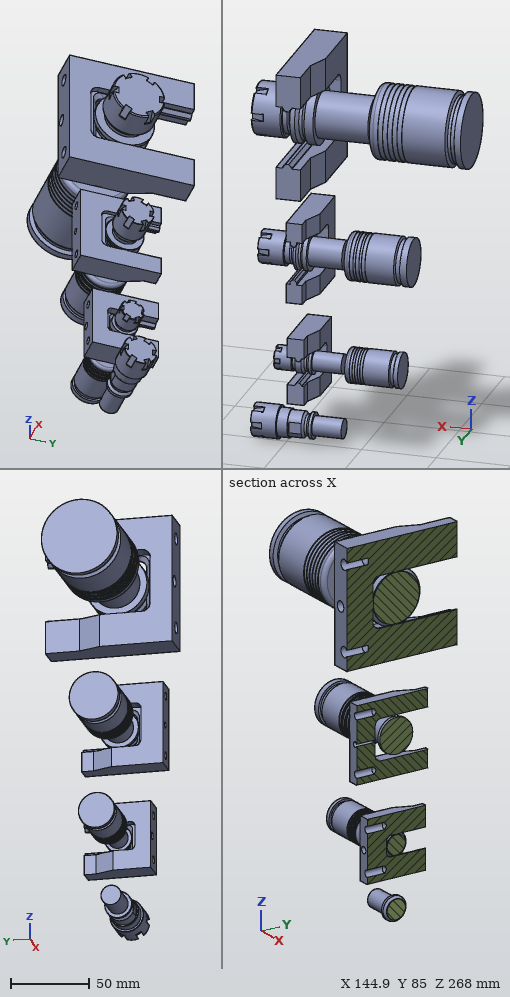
import cadquery as cq
import math


overall_height = 268.0
medium_station_drop = 95.0
small_station_drop = 170.0
large_fork_height = 85.0
small_fork_thickness = 16.0
small_bolt_radius = 2.5
collet_nut_diameter = 22.2
small_shank_start = -31.4
small_shank_radius = 13.0 / 2
small_flange_start = -11.8
small_flange_radius = 8.8
slots_per_nut = 6
grip_groove_count = 3
grip_groove_depth = 0.5
drill_point_angle = 118.0
body_rear = -1.0

large_groove = {"start": -10.7, "end": -4.3, "slope": 2.1, "radius": 18.0}
medium_groove = {"start": -7.0, "end": -2.7, "slope": 1.3, "radius": 11.3}
small_groove = {"start": -10.0, "end": -5.0, "slope": 1.5, "radius": 7.2}


def revolve_about_x(points):
    """Revolve a closed (x, radius) outline about the X axis."""
    return cq.Workplane("XY").polyline(points).close().revolve(360, (0, 0, 0), (1, 0, 0))


def groove_outline(groove, rim_radius):
    """The four (x, radius) points of a V groove between two rims."""
    return [
        (groove["start"], rim_radius),
        (groove["start"] + groove["slope"], groove["radius"]),
        (groove["end"] - groove["slope"], groove["radius"]),
        (groove["end"], rim_radius),
    ]



def make_sleeve(left, right, radius, rim_width, neck, body_offset, groove_width, land_width, end_round):
    """Solid sleeve with a neck behind its left rim and grip grooves before its rounded right end.

    neck: (distance from the left end, radius) points between the rim and the body.
    """
    outline = [(left, 0), (left, radius), (left + rim_width, radius)]
    outline += [(left + offset, neck_radius) for offset, neck_radius in neck]
    outline.append((left + body_offset, radius))

    groove_radius = radius - grip_groove_depth
    pitch = groove_width + land_width
    first_groove = right - end_round - grip_groove_count * pitch
    for index in range(grip_groove_count):
        groove_left = first_groove + index * pitch
        groove_right = groove_left + groove_width
        outline += [
            (groove_left, radius),
            (groove_left, groove_radius),
            (groove_right, groove_radius),
            (groove_right, radius),
        ]
    outline += [(right, radius), (right, 0)]
    return revolve_about_x(outline).faces(">X").edges().fillet(end_round)



def cut_nut_slots(holder, nut_end, nut_radius, length, width, shallow, deep):
    """Cut six wrench slots whose floors slope down toward the free end of the nut."""
    slot_start = nut_end - length
    slot = (
        cq.Workplane("XY")
        .polyline([
            (slot_start, shallow - nut_radius),
            (nut_end, deep - nut_radius),
            (nut_end, -nut_radius - deep),
            (slot_start, -nut_radius - deep),
        ])
        .close()
        .extrude(width / 2, both=True)
    )
    for index in range(slots_per_nut):
        holder = holder.cut(slot.rotate((0, 0, 0), (1, 0, 0), index * 360 / slots_per_nut))
    return holder


def make_holder(shank_start, shank_radius, flange_start, flange_radius, groove, body_end, collar,
                nut_start, nut_end, nut_radius, nut_bevel, slot):
    """Shank, grooved flange, stepped body and slotted nut in one solid.

    collar: (x, radius) points between the body and the nut; slot: sizes of the nut's wrench slots.
    """
    outline = [
        (shank_start, 0),
        (shank_start, shank_radius),
        (flange_start, shank_radius),
        (flange_start, flange_radius),
    ]
    outline += groove_outline(groove, flange_radius)
    outline.append((body_end, flange_radius))
    outline += collar
    outline += [
        (nut_start, nut_radius - nut_bevel),
        (nut_start + nut_bevel, nut_radius),
        (nut_end - nut_bevel, nut_radius),
        (nut_end, nut_radius - nut_bevel),
        (nut_end, 0),
    ]
    return cut_nut_slots(revolve_about_x(outline), nut_end, nut_radius, **slot)


def cut_wrench_flats(holder, start, end, flat_distance, body_radius):
    """Mill two opposite flats, facing -Y and +Y, into a holder's round body."""
    length = end - start
    waste = cq.Workplane("XY").box(length, body_radius, 2 * body_radius)
    for side in (-1, 1):
        waste_y = side * (flat_distance + body_radius / 2)
        holder = holder.cut(waste.translate((start + length / 2, waste_y, 0)))
    return holder



def ridge_slot_section(x, half_width, corner_radius, reach):
    """Cross-section at x of a slot open toward +Y, as deep below the axis as its half width."""
    corner = half_width - corner_radius
    middle = corner + corner_radius * math.sqrt(0.5)
    return (
        cq.Workplane("YZ", origin=(x, 0, 0))
        .moveTo(reach, -half_width)
        .lineTo(-corner, -half_width)
        .threePointArc((-middle, -middle), (-half_width, -corner))
        .lineTo(-half_width, corner)
        .threePointArc((-middle, middle), (-corner, half_width))
        .lineTo(reach, half_width)
        .close()
        .val()
    )


def cut_ridge_slot(plate, groove, rim_half_width, corner_radius, reach):
    """Cut the slot whose flanks follow the V groove of the holder and leave the ridge standing."""
    sections = [
        ridge_slot_section(x, half_width, corner_radius, reach)
        for x, half_width in groove_outline(groove, rim_half_width)
    ]
    for left_section, right_section in zip(sections, sections[1:]):
        plate = plate.cut(cq.Workplane(cq.Solid.makeLoft([left_section, right_section], True)))
    return plate


def cut_pocket(plate, x_start, x_end, y_floor, half_width, corner_radius, reach):
    """Cut a pocket, wider than the ridge slot, open toward +Y with round corners at its floor."""
    pocket = (
        cq.Workplane("XY")
        .box(x_end - x_start, reach - y_floor, 2 * half_width, centered=(False, False, True))
        .translate((x_start, y_floor, 0))
        .edges("|X and <Y")
        .fillet(corner_radius)
    )
    return plate.cut(pocket)


def drilled_hole(radius, depth):
    """Blind hole along +Y from the origin, ending in a drill point."""
    point_length = radius / math.tan(math.radians(drill_point_angle / 2))
    return (
        cq.Workplane("XY")
        .polyline([(0, 0), (radius, 0), (radius, depth), (0, depth + point_length)])
        .close()
        .revolve(360, (0, 0, 0), (0, 1, 0))
    )


def make_fork(height, thickness, front, back, ramp_start, ramp_end, ramp_depth,
              pocket_floor, pocket_half_width, pocket_corner, groove, ridge_rim, ridge_corner,
              bolt_radius, bolt_depth, bolt_spacing, stop_radius, stop_x):
    """Fork plate whose tines carry a ridge that grips the V groove of a holder.

    front and back: reach along -Y and +Y. The tines thin by ramp_depth from ramp_start to ramp_end.
    ridge_rim: half width of the slot at the rims of the ridge.
    """
    fork = (
        cq.Workplane("XY")
        .polyline([
            (-thickness, -front),
            (0, -front),
            (0, back),
            (ramp_depth - thickness, back),
            (ramp_depth - thickness, ramp_end),
            (-thickness, ramp_start),
        ])
        .close()
        .extrude(height / 2, both=True)
    )

    for x_start, x_end in ((-thickness, groove["start"]), (groove["end"], 0)):
        fork = cut_pocket(fork, x_start, x_end, -pocket_floor, pocket_half_width, pocket_corner, back)
    fork = cut_ridge_slot(fork, groove, ridge_rim, ridge_corner, back)

    bolt_hole = drilled_hole(bolt_radius, bolt_depth)
    for z in (-bolt_spacing / 2, bolt_spacing / 2):
        fork = fork.cut(bolt_hole.translate((-thickness / 2, -front, z)))

    stop_hole = (
        cq.Workplane("XZ", origin=(stop_x, -front, 0))
        .circle(stop_radius)
        .extrude(pocket_floor - front)
    )
    return fork.cut(stop_hole)



large_sleeve = make_sleeve(
    left=-116.8, right=-55.0, radius=25.0, rim_width=4.3,
    neck=[(5.0, 22.0), (7.5, 22.0), (7.5, 22.5), (9.5, 22.5)], body_offset=10.5,
    groove_width=3.2, land_width=3.2, end_round=3.2,
)
large_holder = make_holder(
    shank_start=-52.0, shank_radius=15.5, flange_start=-16.5, flange_radius=20.0,
    groove=large_groove, body_end=body_rear,
    collar=[(body_rear, 14.0), (1.3, 14.0), (2.5, 15.0), (5.4, 15.0)],
    nut_start=5.4, nut_end=25.7, nut_radius=17.7, nut_bevel=0.8,
    slot={"length": 8.3, "width": 4.8, "shallow": 0.8, "deep": 3.8},
)
large_fork = make_fork(
    height=large_fork_height, thickness=22.0, front=38.0, back=47.0,
    ramp_start=9.6, ramp_end=24.5, ramp_depth=5.5,
    pocket_floor=23.5, pocket_half_width=21.0, pocket_corner=5.5,
    groove=large_groove, ridge_rim=20.5, ridge_corner=5.4,
    bolt_radius=3.8, bolt_depth=16.0, bolt_spacing=60.0, stop_radius=3.8, stop_x=-15.3,
)


collet_nut_slot = {"length": 7.5, "width": 4.0, "shallow": 0.5, "deep": 3.0}

medium_sleeve = make_sleeve(
    left=-78.0, right=-35.6, radius=16.0, rim_width=4.5,
    neck=[(4.5, 14.5), (7.8, 14.5)], body_offset=8.5,
    groove_width=2.5, land_width=1.5, end_round=2.5,
)
medium_holder = make_holder(
    shank_start=-32.7, shank_radius=9.6, flange_start=-10.0, flange_radius=12.9,
    groove=medium_groove, body_end=body_rear,
    collar=[(body_rear, 8.5), (1.3, 8.5), (2.5, 9.5), (6.0, 9.5)],
    nut_start=6.0, nut_end=23.3, nut_radius=collet_nut_diameter / 2, nut_bevel=0.3,
    slot=collet_nut_slot,
)
medium_fork = make_fork(
    height=55.0, thickness=small_fork_thickness, front=30.5, back=24.5,
    ramp_start=3.2, ramp_end=16.3, ramp_depth=5.4,
    pocket_floor=16.0, pocket_half_width=14.5, pocket_corner=4.0,
    groove=medium_groove, ridge_rim=12.9, ridge_corner=5.0,
    bolt_radius=small_bolt_radius, bolt_depth=13.5, bolt_spacing=40.2, stop_radius=2.0, stop_x=-9.6,
)


small_sleeve = make_sleeve(
    left=-70.8, right=-34.8, radius=11.8, rim_width=3.0,
    neck=[(3.0, 10.5), (5.5, 10.5)], body_offset=6.2,
    groove_width=2.0, land_width=1.5, end_round=2.0,
)
small_holder = make_holder(
    shank_start=small_shank_start, shank_radius=small_shank_radius,
    flange_start=small_flange_start, flange_radius=small_flange_radius,
    groove=small_groove, body_end=body_rear,
    collar=[(body_rear, 6.7), (1.3, 6.7)],
    nut_start=1.3, nut_end=13.7, nut_radius=8.0, nut_bevel=0.5,
    slot={"length": 4.3, "width": 3.2, "shallow": 0.5, "deep": 2.0},
)
small_fork = make_fork(
    height=45.0, thickness=small_fork_thickness, front=22.5, back=22.5,
    ramp_start=2.5, ramp_end=14.7, ramp_depth=4.8,
    pocket_floor=12.0, pocket_half_width=9.5, pocket_corner=3.0,
    groove=small_groove, ridge_rim=9.0, ridge_corner=3.0,
    bolt_radius=small_bolt_radius, bolt_depth=13.5, bolt_spacing=30.0,
    stop_radius=small_bolt_radius, stop_x=small_flange_start,
)


loose_body_end = 4.0
loose_nut_start = 11.0

loose_holder = make_holder(
    shank_start=small_shank_start, shank_radius=small_shank_radius,
    flange_start=small_flange_start, flange_radius=small_flange_radius,
    groove=small_groove, body_end=loose_body_end,
    collar=[(loose_body_end, 9.6), (loose_nut_start, 9.6)],
    nut_start=loose_nut_start, nut_end=28.1, nut_radius=collet_nut_diameter / 2, nut_bevel=0.3,
    slot=collet_nut_slot,
)
loose_holder = cut_wrench_flats(
    loose_holder, start=small_groove["end"], end=3.2, flat_distance=8.0, body_radius=small_flange_radius,
)

loose_holder_drop = overall_height - large_fork_height / 2 - collet_nut_diameter / 2


bodies_by_drop = [
    (0, [large_sleeve, large_holder, large_fork]),
    (medium_station_drop, [medium_sleeve, medium_holder, medium_fork]),
    (small_station_drop, [small_sleeve, small_holder, small_fork]),
    (loose_holder_drop, [loose_holder]),
]
result = cq.Compound.makeCompound([
    body.translate((0, 0, -drop)).val()
    for drop, bodies in bodies_by_drop
    for body in bodies
])